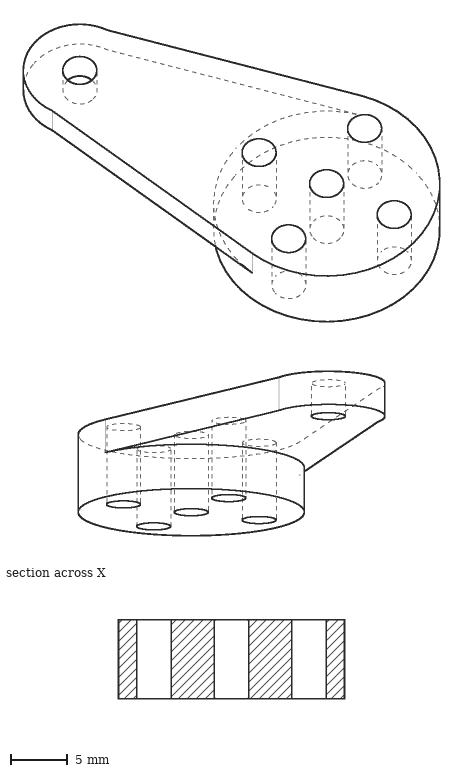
import cadquery as cq
import math

hub_radius = 10.0
tip_radius = hub_radius / 2
center_distance = 24.95
plate_thickness = 3.0
hub_drop = 4.0
hole_diameter = 3.0
hole_circle_radius = 6.85
hub_hole_count = 4

total_height = plate_thickness + hub_drop

start_distance = math.hypot(center_distance, tip_radius)
start_angle = math.pi - math.atan2(tip_radius, center_distance)
tangent_angle = start_angle - math.acos(hub_radius / start_distance)
tangent_x = hub_radius * math.cos(tangent_angle)
tangent_y = hub_radius * math.sin(tangent_angle)


def make_arm():
    """Tapered arm with a round tip, ending on the chord between its two tangent points."""
    return (
        cq.Workplane("XY")
        .workplane(offset=hub_drop)
        .moveTo(-center_distance, tip_radius)
        .lineTo(tangent_x, tangent_y)
        .lineTo(tangent_x, -tangent_y)
        .lineTo(-center_distance, -tip_radius)
        .threePointArc((-center_distance - tip_radius, 0), (-center_distance, tip_radius))
        .close()
        .extrude(plate_thickness)
    )


def make_hub():
    """Disc from the underside up to the top face of the plate."""
    return (
        cq.Workplane("XY")
        .moveTo(-hub_radius, 0)
        .threePointArc((0, -hub_radius), (hub_radius, 0))
        .threePointArc((0, hub_radius), (-hub_radius, 0))
        .close()
        .extrude(total_height)
    )


def make_holes():
    """Through holes: tip, hub centre and the ring around it."""
    centers = [(-center_distance, 0), (0, 0)]
    for index in range(hub_hole_count):
        angle = 2 * math.pi * index / hub_hole_count
        centers.append((hole_circle_radius * math.cos(angle), hole_circle_radius * math.sin(angle)))
    return cq.Workplane("XY").pushPoints(centers).circle(hole_diameter / 2).extrude(total_height)


result = make_hub().union(make_arm()).cut(make_holes()).clean()